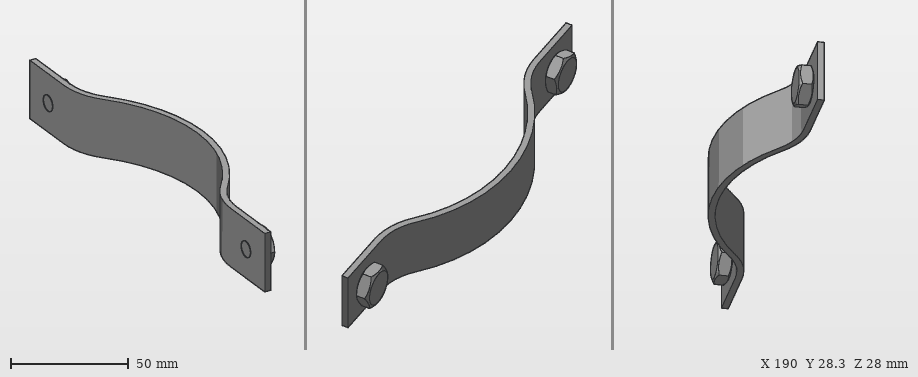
import cadquery as cq
import math

STRAP_LENGTH = 190.0
STRAP_WIDTH = 28.0
THICKNESS = 3.0
CROWN_RADIUS = 72.5
BEND_RADIUS = 28.0
STUD_PROTRUSION = 0.3
OVERALL_DEPTH = 28.27

FASTENER_OFFSET = 80.0
STUD_DIAMETER = 7.5
NUT_HEIGHT = 6.4
NUT_ACROSS_FLATS = 17.0
NUT_FACE_DIAMETER = 15.5
NUT_CHAMFER_ANGLE = 30.0
LEFT_NUT_TURN = 22.0
RIGHT_NUT_TURN = 4.0

BEND_OUTER_RADIUS = BEND_RADIUS + THICKNESS
CENTRE_DISTANCE = CROWN_RADIUS + BEND_OUTER_RADIUS
ARCH_RISE = OVERALL_DEPTH - STUD_PROTRUSION - THICKNESS
ARCH_RADIANS = math.acos(1 - ARCH_RISE / CENTRE_DISTANCE)
BEND_CENTRE_X = CENTRE_DISTANCE * math.sin(ARCH_RADIANS)
BEND_CENTRE_Y = BEND_OUTER_RADIUS
CROWN_CENTRE_Y = BEND_CENTRE_Y - CENTRE_DISTANCE * math.cos(ARCH_RADIANS)
HALF_LENGTH = STRAP_LENGTH / 2


def crown_point(radius, angle):
    """Point on the arch, at an angle in radians from its crown towards +X."""
    return (radius * math.sin(angle), CROWN_CENTRE_Y + radius * math.cos(angle))


def bend_point(side, radius, angle):
    """Point on the bend at one side, at an angle in radians from its tab."""
    x = side * (BEND_CENTRE_X - radius * math.sin(angle))
    return (x, BEND_CENTRE_Y - radius * math.cos(angle))


def make_strap():
    lower = CROWN_RADIUS
    upper = CROWN_RADIUS + THICKNESS
    half_bend = ARCH_RADIANS / 2
    profile = (
        cq.Workplane("XY")
        .workplane(offset=-STRAP_WIDTH / 2)
        .moveTo(-HALF_LENGTH, 0)
        .lineTo(-BEND_CENTRE_X, 0)
        .threePointArc(bend_point(-1, BEND_OUTER_RADIUS, half_bend), crown_point(lower, -ARCH_RADIANS))
        .threePointArc(crown_point(lower, 0), crown_point(lower, ARCH_RADIANS))
        .threePointArc(bend_point(1, BEND_OUTER_RADIUS, half_bend), (BEND_CENTRE_X, 0))
        .lineTo(HALF_LENGTH, 0)
        .lineTo(HALF_LENGTH, THICKNESS)
        .lineTo(BEND_CENTRE_X, THICKNESS)
        .threePointArc(bend_point(1, BEND_RADIUS, half_bend), crown_point(upper, ARCH_RADIANS))
        .threePointArc(crown_point(upper, 0), crown_point(upper, -ARCH_RADIANS))
        .threePointArc(bend_point(-1, BEND_RADIUS, half_bend), (-BEND_CENTRE_X, THICKNESS))
        .lineTo(-HALF_LENGTH, THICKNESS)
        .close()
    )
    return profile.extrude(STRAP_WIDTH)


def make_nut(turn):
    """Hexagon nut standing on the strap at X = 0, chamfered at both ends."""
    corner_radius = NUT_ACROSS_FLATS / math.sqrt(3)
    slope = math.tan(math.radians(NUT_CHAMFER_ANGLE))
    face_radius = NUT_FACE_DIAMETER / 2
    seat = THICKNESS
    top = THICKNESS + NUT_HEIGHT
    hexagon = (
        cq.Workplane("XZ", origin=(0, seat, 0))
        .polygon(6, 2 * corner_radius)
        .extrude(-NUT_HEIGHT)
        .rotate((0, 0, 0), (0, 1, 0), -turn)
    )
    chamfer_envelope = (
        cq.Workplane("XY")
        .moveTo(0, seat)
        .lineTo(face_radius, seat)
        .lineTo(corner_radius, seat + (corner_radius - face_radius) * slope)
        .lineTo(corner_radius, top - (corner_radius - face_radius) * slope)
        .lineTo(face_radius, top)
        .lineTo(0, top)
        .close()
        .revolve(360, (0, 0, 0), (0, 1, 0))
    )
    return hexagon.intersect(chamfer_envelope)


def make_fastener(x, turn):
    """Nut with a plain stud that runs through the tab and stands out below it."""
    stud = (
        cq.Workplane("XZ", origin=(0, -STUD_PROTRUSION, 0))
        .circle(STUD_DIAMETER / 2)
        .extrude(-(STUD_PROTRUSION + THICKNESS + NUT_HEIGHT))
    )
    return make_nut(turn).union(stud).translate((x, 0, 0))


result = make_strap()
for fastener_x, nut_turn in ((-FASTENER_OFFSET, LEFT_NUT_TURN), (FASTENER_OFFSET, RIGHT_NUT_TURN)):
    result = result.union(make_fastener(fastener_x, nut_turn))